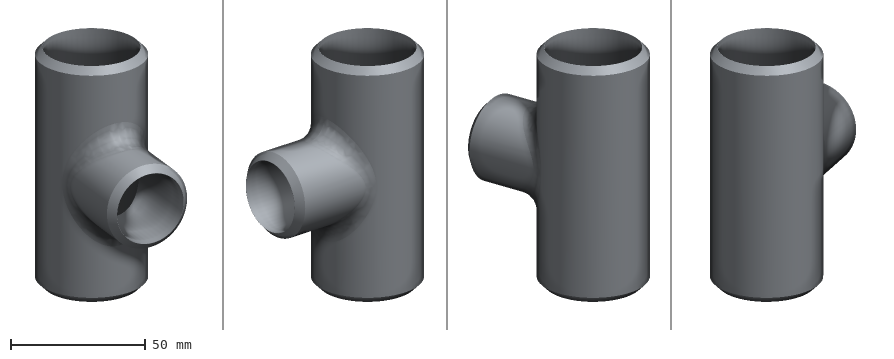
import cadquery as cq

run_length = 95.2
run_radius = 21.1
branch_reach = 47.6
branch_radius = 16.85
wall = 2.9
end_land = 0.1
bevel = wall - end_land
blend_radius = 8.0


def run_cylinder(radius):
    return cq.Workplane("XY").circle(radius).extrude(run_length / 2, both=True)


def branch_cylinder(radius):
    return cq.Workplane("YZ").circle(radius).extrude(branch_reach)


def outer_body():
    """Run and branch joined by a rounded blend, with bevelled pipe ends."""
    body = run_cylinder(run_radius).union(branch_cylinder(branch_radius))
    junction = cq.selectors.BoxSelector(
        (0, -run_radius, -branch_radius - wall),
        (branch_reach - wall, run_radius, branch_radius + wall),
    )
    body = body.edges(junction).edges("not %LINE").fillet(blend_radius)
    return body.faces("<Z or >Z or >X").edges().chamfer(bevel)


result = (
    outer_body()
    .cut(run_cylinder(run_radius - wall))
    .cut(branch_cylinder(branch_radius - wall))
)